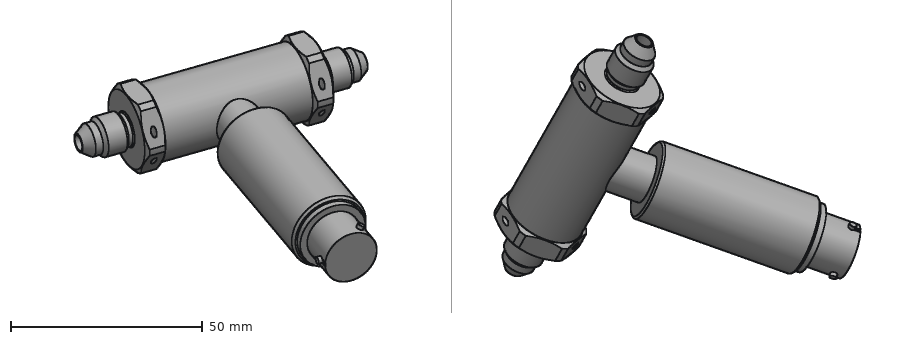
import cadquery as cq
import math

OVERALL_LENGTH = 89.55
OVERALL_WIDTH = 82.9

HEX_ACROSS_FLATS = 22.0
HEX_CORNER_DIAMETER = 24.4
HEX_FACE_DIAMETER = 21.8
HEX_CHAMFER = 0.8
HEX_HEIGHT = 6.1
WIRE_HOLE_DIAMETER = 1.5
WIRE_HOLE_OFFSET = 10.0

TIP_DIAMETER = 5.2
NOSE_DIAMETER = 9.1
THREAD_DIAMETER = 11.1
NECK_DIAMETER = 9.2
NECK_FLARE = 0.4
NOSE_START = 2.9
NOSE_END = 5.0
THREAD_START = 6.1
THREAD_END = 11.55
NECK_START = 12.45
FITTING_LENGTH = 14.0
BORE_DIAMETER = 4.3

TUBE_DIAMETER = 21.6
STEM_DIAMETER = 13.0

BARREL_DIAMETER = 21.6
BARREL_START = 19.4
BARREL_END = 64.8
BARREL_START_CHAMFER = 0.5
BARREL_END_CHAMFER = 0.7

RING_DIAMETER = 19.1
RING_END = 66.6
CONNECTOR_DIAMETER = 15.0
PIN_DIAMETER = 2.0
PIN_PROJECTION = 1.1
PIN_SETBACK = 2.6
PIN_ANGLES = (60, 180, 300)
KEYWAY_WIDTH = 1.0
KEYWAY_DEPTH = 0.2

TUBE_X = -OVERALL_LENGTH / 2 + HEX_CORNER_DIAMETER / 2
TIP_Y = OVERALL_WIDTH / 2
HEX_OUTER_Y = TIP_Y - FITTING_LENGTH
HEX_INNER_Y = HEX_OUTER_Y - HEX_HEIGHT
CONNECTOR_LENGTH = OVERALL_LENGTH / 2 - TUBE_X


def cylinder(diameter, start, end):
    """Cylinder around the Z axis between two heights."""
    return cq.Workplane("XY").workplane(offset=start).circle(diameter / 2).extrude(end - start)


def turned(profile):
    """Solid of revolution around Z from (diameter, height) points, closed along the axis."""
    points = [(diameter / 2, height) for diameter, height in profile]
    bottom = (0, profile[0][1])
    top = (0, profile[-1][1])
    return cq.Workplane("XZ").polyline([bottom] + points + [top]).close().revolve(360, (0, 0), (0, 1))


def hex_nut():
    """Hexagon along Z with flats facing +/-Y, rounded corners, chamfered ends and wire holes."""
    across_corners = HEX_ACROSS_FLATS / math.cos(math.pi / 6)
    hexagon = cq.Workplane("XY").polygon(6, across_corners).extrude(HEX_HEIGHT)
    envelope = turned([
        (HEX_FACE_DIAMETER, 0),
        (HEX_CORNER_DIAMETER, HEX_CHAMFER),
        (HEX_CORNER_DIAMETER, HEX_HEIGHT - HEX_CHAMFER),
        (HEX_FACE_DIAMETER, HEX_HEIGHT),
    ])
    wire_holes = (
        cq.Workplane("XZ")
        .pushPoints([(-WIRE_HOLE_OFFSET, HEX_HEIGHT / 2), (WIRE_HOLE_OFFSET, HEX_HEIGHT / 2)])
        .circle(WIRE_HOLE_DIAMETER / 2)
        .extrude(HEX_CORNER_DIAMETER, both=True)
    )
    return hexagon.intersect(envelope).cut(wire_holes)


def end_fitting():
    """Flared fitting along Z, from the nut face at Z = 0 up to the bored tip."""
    profile = [
        (NECK_DIAMETER + 2 * NECK_FLARE, 0),
        (NECK_DIAMETER, NECK_FLARE),
        (NECK_DIAMETER, FITTING_LENGTH - NECK_START),
        (THREAD_DIAMETER, FITTING_LENGTH - THREAD_END),
        (THREAD_DIAMETER, FITTING_LENGTH - THREAD_START),
        (NOSE_DIAMETER, FITTING_LENGTH - NOSE_END),
        (NOSE_DIAMETER, FITTING_LENGTH - NOSE_START),
        (TIP_DIAMETER, FITTING_LENGTH),
    ]
    return turned(profile).cut(cylinder(BORE_DIAMETER, 0, FITTING_LENGTH))


def flow_tube():
    """Tube along Z with a nut and a fitting at each end."""
    tube = cylinder(TUBE_DIAMETER, -HEX_INNER_Y, HEX_INNER_Y)
    end = (
        hex_nut().translate((0, 0, HEX_INNER_Y))
        .union(end_fitting().translate((0, 0, HEX_OUTER_Y)))
    )
    return tube.union(end).union(end.mirror("XY"))


def sensor_arm():
    """Stem, barrel, ring and connector along Z, starting on the tube axis."""
    chamfered_end = BARREL_DIAMETER - 2 * BARREL_END_CHAMFER
    profile = [
        (STEM_DIAMETER, 0),
        (STEM_DIAMETER, BARREL_START),
        (BARREL_DIAMETER - 2 * BARREL_START_CHAMFER, BARREL_START),
        (BARREL_DIAMETER, BARREL_START + BARREL_START_CHAMFER),
        (BARREL_DIAMETER, BARREL_END - BARREL_END_CHAMFER),
        (chamfered_end, BARREL_END),
        (RING_DIAMETER, BARREL_END),
        (RING_DIAMETER, RING_END),
        (CONNECTOR_DIAMETER, RING_END),
        (CONNECTOR_DIAMETER, CONNECTOR_LENGTH),
    ]
    return turned(profile)


def bayonet_pins():
    """Radial pins around an arm that runs along +X."""
    reach = CONNECTOR_DIAMETER / 2 + PIN_PROJECTION
    pin = (
        cq.Workplane("XZ", origin=(OVERALL_LENGTH / 2 - PIN_SETBACK, 0, 0))
        .circle(PIN_DIAMETER / 2)
        .extrude(-reach)
    )
    pins = cq.Workplane("XY")
    for angle in PIN_ANGLES:
        pins = pins.union(pin.rotate((0, 0, 0), (1, 0, 0), angle))
    return pins


def keyway():
    """Shallow slot in the connector wall, from the -Y pin out to the free end."""
    return cq.Workplane("XY").box(PIN_SETBACK, 2 * KEYWAY_DEPTH, KEYWAY_WIDTH).translate(
        ((OVERALL_LENGTH - PIN_SETBACK) / 2, -CONNECTOR_DIAMETER / 2, 0)
    )


tube = flow_tube().rotate((0, 0, 0), (1, 0, 0), -90).translate((TUBE_X, 0, 0))
arm = sensor_arm().rotate((0, 0, 0), (0, 1, 0), 90).translate((TUBE_X, 0, 0))
result = tube.union(arm).cut(keyway()).union(bayonet_pins())